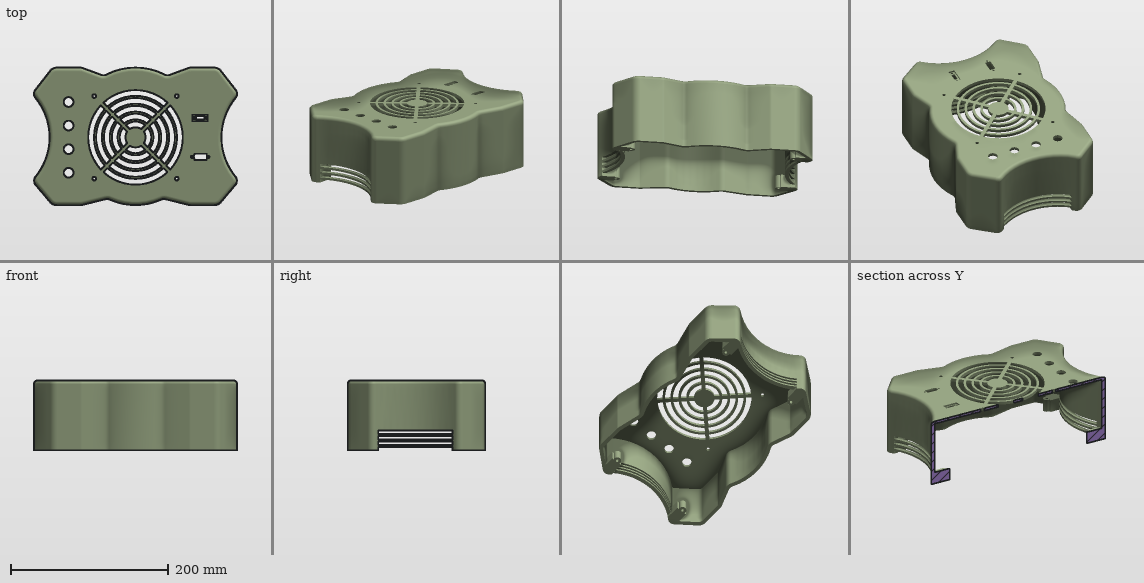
import cadquery as cq
HEIGHT = 89.0
SIDE_WALL = 5.0
TOP_WALL = 4.1
TOP_FILLET = 5.0
CORNER_RADIUS = 11.4
BEND_RADIUS = 7.7

BACK_Y = 88.8
FRONT_Y = -86.3
CORNER_X = 105.0
FLAT_END_X = 69.0
BACK_VALLEY_X = 40.0
BACK_VALLEY_Y = 78.3
FRONT_VALLEY_X = 35.0
FRONT_VALLEY_Y = -78.0
TIP_X = 131.5
TIP_Y = 55.0
NOTCH_MID_X = 109.2

GRILLE_RADIUS = 60.0
HUB_RADIUS = 13.0
RING_GAP = 7.0
GAP_COUNT = 5
GAP_PITCH = (GRILLE_RADIUS - HUB_RADIUS - RING_GAP) / (GAP_COUNT - 1)
SPOKE_WIDTH = 5.0
SPOKE_ANGLES = (45, 135)
FAN_SCREW_SPACING = 104.9
FAN_SCREW_DIAMETER = 4.5

BUTTON_X = -85.0
BUTTON_PITCH = 30.0
BUTTON_COUNT = 4
BUTTON_DIAMETER = 12.1

CONNECTOR_X = 82.0
CONNECTOR_Y = 24.8
CONNECTOR_SCREW_DIAMETER = 2.5
RECESS_LENGTH = 20.0
RECESS_WIDTH = 8.0
RECESS_DEPTH = TOP_WALL / 2
SOCKET_LENGTH = 10.0
SOCKET_WIDTH = 4.1
SOCKET_SCREW_SPACING = 15.5
PLUG_HALF_LENGTH = 8.3
PLUG_WIDTH = 7.5
PLUG_SHOULDER = 7.0
PLUG_SCREW_SPACING = 20.7

SLOT_COUNT = 4
SLOT_LENGTH = 94.0
SLOT_HEIGHT = 4.1
SLOT_PITCH = 7.0

LUG_HEIGHT = 16.5
LUG_START_X = 106.5
LUG_WIDTH = 14.5
BOSS_X = 104.9
BOSS_DIAMETER = 9.8
BOSS_HOLE_DIAMETER = 3.5


def is_outer_corner(edge):
    return abs(abs(edge.Center().x) - CORNER_X) < BEND_RADIUS


def case_block():
    """Solid block with the case outline and rounded vertical edges."""
    block = (
        cq.Workplane("XY")
        .moveTo(-CORNER_X, BACK_Y)
        .lineTo(-FLAT_END_X, BACK_Y)
        .lineTo(-BACK_VALLEY_X, BACK_VALLEY_Y)
        .threePointArc((0, BACK_Y), (BACK_VALLEY_X, BACK_VALLEY_Y))
        .lineTo(FLAT_END_X, BACK_Y)
        .lineTo(CORNER_X, BACK_Y)
        .lineTo(TIP_X, TIP_Y)
        .threePointArc((NOTCH_MID_X, 0), (TIP_X, -TIP_Y))
        .lineTo(CORNER_X, FRONT_Y)
        .lineTo(FLAT_END_X, FRONT_Y)
        .lineTo(FRONT_VALLEY_X, FRONT_VALLEY_Y)
        .threePointArc((0, FRONT_Y), (-FRONT_VALLEY_X, FRONT_VALLEY_Y))
        .lineTo(-FLAT_END_X, FRONT_Y)
        .lineTo(-CORNER_X, FRONT_Y)
        .lineTo(-TIP_X, -TIP_Y)
        .threePointArc((-NOTCH_MID_X, 0), (-TIP_X, TIP_Y))
        .close()
        .extrude(HEIGHT)
    )
    edges = block.edges("|Z").vals()
    corners = [edge for edge in edges if is_outer_corner(edge)]
    bends = [edge for edge in edges if not is_outer_corner(edge)]
    rounded = block.val().fillet(CORNER_RADIUS, corners).fillet(BEND_RADIUS, bends)
    return cq.Workplane(rounded)


def case_shell(block):
    """Round the top rim and hollow the block from below."""
    outline = block.faces("<Z").wires().val()
    cavity = (
        cq.Workplane("XY")
        .add(outline)
        .toPending()
        .offset2D(-SIDE_WALL)
        .extrude(HEIGHT - TOP_WALL)
    )
    return block.faces(">Z").edges().fillet(TOP_FILLET).cut(cavity)


def screw_lugs(block):
    """Four lugs, each a pad filling a side tip and a drilled round boss in front of it."""
    pad_length = TIP_X - LUG_START_X
    pad_x = LUG_START_X + pad_length / 2
    lugs = (
        cq.Workplane("XY")
        .rect(2 * pad_x, 2 * TIP_Y, forConstruction=True)
        .vertices()
        .rect(pad_length, LUG_WIDTH)
        .extrude(LUG_HEIGHT)
    )
    boss_places = cq.Workplane("XY").rect(2 * BOSS_X, 2 * TIP_Y, forConstruction=True).vertices()
    bosses = boss_places.circle(BOSS_DIAMETER / 2).extrude(LUG_HEIGHT)
    holes = boss_places.circle(BOSS_HOLE_DIAMETER / 2).extrude(LUG_HEIGHT)
    return lugs.union(bosses).cut(holes).intersect(block)


def top_plane(x=0, y=0):
    """Workplane on the top face, centred at x, y."""
    return cq.Workplane("XY", origin=(x, y, HEIGHT))


def fan_grille():
    """Concentric open rings, interrupted by the crossed spokes."""
    openings = cq.Workplane("XY")
    for index in range(GAP_COUNT):
        inner_radius = HUB_RADIUS + index * GAP_PITCH
        ring = top_plane().circle(inner_radius + RING_GAP).circle(inner_radius).extrude(-TOP_WALL)
        openings = openings.add(ring)
    openings = openings.combine()
    for angle in SPOKE_ANGLES:
        spoke = (
            top_plane()
            .transformed(rotate=(0, 0, angle))
            .rect(2 * GRILLE_RADIUS + SPOKE_WIDTH, SPOKE_WIDTH)
            .extrude(-TOP_WALL)
        )
        openings = openings.cut(spoke)
    return openings


def fan_screw_holes():
    return (
        top_plane()
        .rarray(FAN_SCREW_SPACING, FAN_SCREW_SPACING, 2, 2)
        .circle(FAN_SCREW_DIAMETER / 2)
        .extrude(-TOP_WALL)
    )


def button_holes():
    return (
        top_plane(BUTTON_X)
        .rarray(2.5, BUTTON_PITCH, 1, BUTTON_COUNT)
        .circle(BUTTON_DIAMETER / 2)
        .extrude(-TOP_WALL)
    )


def connector_screw_holes(y, spacing):
    return (
        top_plane(CONNECTOR_X, y)
        .rarray(spacing, 2.5, 2, 1)
        .circle(CONNECTOR_SCREW_DIAMETER / 2)
        .extrude(-TOP_WALL)
    )


def socket_opening():
    """Rectangular opening and its screw holes inside a shallow recess."""
    plane = top_plane(CONNECTOR_X, CONNECTOR_Y)
    recess = plane.rect(RECESS_LENGTH, RECESS_WIDTH).extrude(-RECESS_DEPTH)
    opening = plane.rect(SOCKET_LENGTH, SOCKET_WIDTH).extrude(-TOP_WALL)
    screws = connector_screw_holes(CONNECTOR_Y, SOCKET_SCREW_SPACING)
    return recess.union(opening).union(screws)


def plug_opening():
    """Five-sided opening with a screw hole at each end."""
    half_width = PLUG_WIDTH / 2
    opening = (
        top_plane(CONNECTOR_X, -CONNECTOR_Y)
        .moveTo(PLUG_HALF_LENGTH, half_width)
        .lineTo(-PLUG_SHOULDER, half_width)
        .lineTo(-PLUG_HALF_LENGTH, 0)
        .lineTo(-PLUG_SHOULDER, -half_width)
        .lineTo(PLUG_HALF_LENGTH, -half_width)
        .close()
        .extrude(-TOP_WALL)
    )
    return opening.union(connector_screw_holes(-CONNECTOR_Y, PLUG_SCREW_SPACING))


def side_slots():
    """Flat cutters across the whole case; the lowest one opens through the bottom rim."""
    slots = cq.Workplane("XY")
    for index in range(SLOT_COUNT):
        plane = cq.Workplane("XY", origin=(0, 0, index * SLOT_PITCH))
        slots = slots.add(plane.rect(2 * TIP_X, SLOT_LENGTH).extrude(SLOT_HEIGHT))
    return slots.combine()


solid_block = case_block()
result = (
    case_shell(solid_block)
    .union(screw_lugs(solid_block))
    .cut(fan_grille())
    .cut(fan_screw_holes())
    .cut(button_holes())
    .cut(socket_opening())
    .cut(plug_opening())
    .cut(side_slots())
)